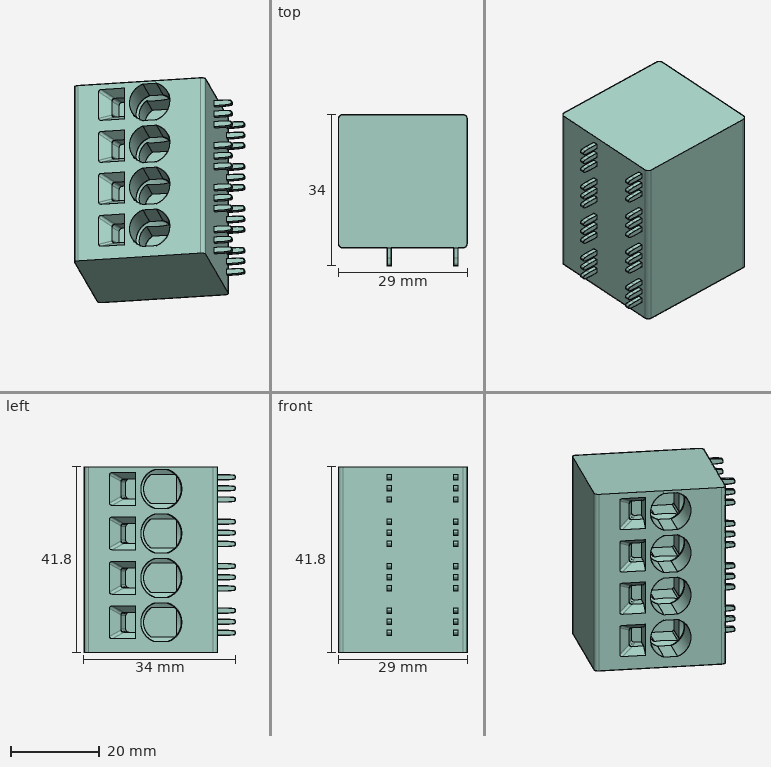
import cadquery as cq
import math

HOUSING_X = 29.0
HOUSING_Y = 30.0
HOUSING_Z = 41.8
CORNER_RADIUS = 1.0

POLE_COUNT = 4
POLE_PITCH = 10.0
TOP_POLE_DROP = 5.0
TOP_POLE_Z = HOUSING_Z - TOP_POLE_DROP
POLE_HEIGHTS = [TOP_POLE_Z - i * POLE_PITCH for i in range(POLE_COUNT)]

BORE_Y = 12.64
BORE_RADIUS = 4.62
BORE_HEIGHT = 8.7
BORE_DEPTH = 8.0
CONE_RADIUS = 4.55
CONE_Y = BORE_Y + BORE_RADIUS - CONE_RADIUS
CONE_HALF_ANGLE = 59.0
PASSAGE_RADIUS = 4.0
PASSAGE_HEIGHT = 6.6
PASSAGE_MIN_Y = 9.24
PASSAGE_END_DEPTH = 15.0

SLOT_MIN_Y = 18.4
SLOT_MOUTH_WIDTH = 5.9
SLOT_MOUTH_HEIGHT = 7.35
SLOT_THROAT_WIDTH = 3.3
SLOT_THROAT_HEIGHT = 4.45
SLOT_FLOOR_WIDTH = 2.25
FUNNEL_DEPTH = 2.4
THROAT_DEPTH = 3.0
SLOT_CORNER_RADIUS = 0.7

PIN_COLUMNS_X = [11.45, 26.45]
PIN_PITCH = 2.5
PINS_PER_POLE = 3
PIN_RISE = 0.15
PIN_WIDTH = 1.0
PIN_HEIGHT = 1.2
PIN_LENGTH = 4.03
PIN_STRAIGHT_LENGTH = 2.3
PIN_TIP_HEIGHT = 0.9
PIN_TIP_RADIUS = 0.44


def make_housing():
    """Plain block with rounded vertical edges."""
    block = cq.Workplane("XY").box(HOUSING_X, HOUSING_Y, HOUSING_Z, centered=False)
    return block.edges("|Z").fillet(CORNER_RADIUS)


def make_bore(pole_z):
    """Round bore, flattened above and below, entering from the X = 0 face."""
    cylinder = cq.Workplane("YZ").center(BORE_Y, pole_z).circle(BORE_RADIUS).extrude(BORE_DEPTH)
    flats = cq.Workplane("YZ").center(BORE_Y, pole_z).rect(2 * BORE_RADIUS, BORE_HEIGHT).extrude(BORE_DEPTH)
    return cylinder.intersect(flats)


def make_shoulder(pole_z):
    """Pointed cone at the bottom of the bore, kept within the bore's flats."""
    cone_height = CONE_RADIUS / math.tan(math.radians(CONE_HALF_ANGLE))
    profile = [(0, 0), (cone_height, 0), (0, -CONE_RADIUS)]
    cone = cq.Workplane("XY", origin=(BORE_DEPTH, CONE_Y, pole_z)).polyline(profile).close()
    cone = cone.revolve(360, (0, 0), (1, 0))
    flats = cq.Workplane("YZ", origin=(BORE_DEPTH, BORE_Y, pole_z))
    flats = flats.rect(2 * BORE_RADIUS, BORE_HEIGHT).extrude(cone_height)
    return flats.intersect(cone)


def make_passage(pole_z):
    """Passage beyond the cone: flat on three sides, round on the +Y side."""
    length = PASSAGE_END_DEPTH - BORE_DEPTH
    start = cq.Workplane("YZ", origin=(BORE_DEPTH, 0, pole_z))
    half_height = PASSAGE_HEIGHT / 2
    arc_y = BORE_Y + math.sqrt(PASSAGE_RADIUS**2 - half_height**2)
    outline = (
        start.moveTo(PASSAGE_MIN_Y, -half_height)
        .lineTo(arc_y, -half_height)
        .threePointArc((BORE_Y + PASSAGE_RADIUS, 0), (arc_y, half_height))
        .lineTo(PASSAGE_MIN_Y, half_height)
        .close()
        .extrude(length)
    )
    limit = start.center(CONE_Y, 0).circle(CONE_RADIUS).extrude(length)
    return outline.intersect(limit)


def make_slot_segment(pole_z, start_depth, start_size, end_depth, end_size):
    """Slot segment along X with a straight -Y wall and rounded corners along its +Y wall."""
    start_width, start_height = start_size
    end_width, end_height = end_size
    segment = (
        cq.Workplane("YZ", origin=(start_depth, SLOT_MIN_Y, pole_z))
        .center(start_width / 2, 0)
        .rect(start_width, start_height)
        .workplane(offset=end_depth - start_depth)
        .center((end_width - start_width) / 2, 0)
        .rect(end_width, end_height)
        .loft(ruled=True)
    )
    return segment.faces(">Y").edges("not |Z").fillet(SLOT_CORNER_RADIUS)


def make_slot(pole_z):
    """Release slot: funnel with the throat behind it."""
    mouth = (SLOT_MOUTH_WIDTH, SLOT_MOUTH_HEIGHT)
    throat = (SLOT_THROAT_WIDTH, SLOT_THROAT_HEIGHT)
    floor = (SLOT_FLOOR_WIDTH, SLOT_THROAT_HEIGHT)
    throat_end = FUNNEL_DEPTH + THROAT_DEPTH
    slot = make_slot_segment(pole_z, 0, mouth, FUNNEL_DEPTH, throat)
    return slot.union(make_slot_segment(pole_z, FUNNEL_DEPTH, throat, throat_end, floor))


def make_pin(column_x, pin_z):
    """Rectangular pin pointing to -Y with a tapered, rounded tip."""
    half = PIN_HEIGHT / 2
    half_tip = PIN_TIP_HEIGHT / 2
    outline = [
        (0, half),
        (-PIN_STRAIGHT_LENGTH, half),
        (-PIN_LENGTH, half_tip),
        (-PIN_LENGTH, -half_tip),
        (-PIN_STRAIGHT_LENGTH, -half),
        (0, -half),
    ]
    pin = cq.Workplane("YZ", origin=(column_x - PIN_WIDTH / 2, 0, pin_z)).polyline(outline).close()
    return pin.extrude(PIN_WIDTH).faces("<Y").edges("|X").fillet(PIN_TIP_RADIUS)


result = make_housing()
for pole_z in POLE_HEIGHTS:
    for cutter in (make_bore, make_shoulder, make_passage, make_slot):
        result = result.cut(cutter(pole_z))
    for column_x in PIN_COLUMNS_X:
        for i in range(PINS_PER_POLE):
            pin_z = pole_z + PIN_RISE + (i - (PINS_PER_POLE - 1) / 2) * PIN_PITCH
            result = result.union(make_pin(column_x, pin_z))